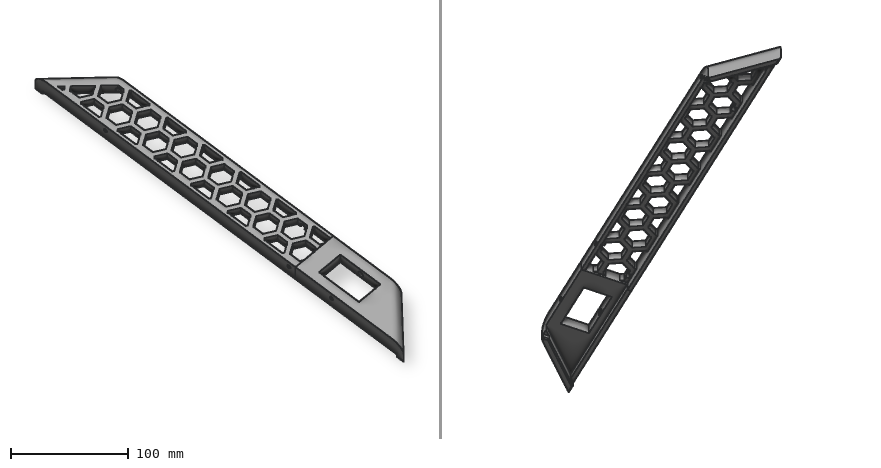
import cadquery as cq
import math

length = 431.72
depth = 46.8
height = 21.0
foot_height = 4.5
end_radius = 10.0

skirt_thickness = 4.0
end_wall_width = 8.2
plate_thickness = 10.5
grille_thickness = 8.0

display_length = 126.9
seam_x = length - display_length

foot_end_x = 49.8
foot_chamfer = 1.2

hex_across_flats = 20.0
hex_row_pitch = 24.82
hex_column_pitch = hex_row_pitch * math.sqrt(3) / 2
hex_corner_diameter = hex_across_flats * 2 / math.sqrt(3)
first_hex_x = 39.1
first_hex_y = 17.3
honeycomb_border = 3.5
honeycomb_mitre_offset = 19.6
honeycomb_columns = range(-1, 14)
honeycomb_rows = range(-1, 3)

window_x = 323.2
window_y = 9.8
window_length = 46.8
window_depth = 26.3

hole_diameter = 3.5
counterbore_diameter = 5.6
counterbore_wall = 4.0
hole_z = 14.7
front_hole_columns = (2, 12)
window_hole_x = 347.0


def prism(outline, bottom, top):
    """Vertical prism over a closed outline in the XY plane."""
    return cq.Workplane("XY").workplane(offset=bottom).polyline(outline).close().extrude(top - bottom)


def mirrored(body):
    """Copy of a body reflected to the opposite end of the bar."""
    return body.mirror("YZ", (length / 2, 0, 0))


def bar_blank():
    """Solid mitred bar, rounded along the upper edge of each mitre."""
    outline = [(0, 0), (length, 0), (length - depth, depth), (depth, depth)]
    bar = prism(outline, foot_height, height)
    return bar.faces(">Z").edges("not |X").fillet(end_radius)


def foot():
    """Foot under the left end wall, chamfered below on every side but the mitre."""
    outline = [
        (0, 0),
        (end_wall_width, 0),
        (foot_end_x, foot_end_x - end_wall_width),
        (foot_end_x, depth),
        (depth, depth),
    ]
    body = prism(outline, 0, foot_height)
    return body.faces("<Z").edges("not <(1, -1, 0)").chamfer(foot_chamfer)


def underside_hollow():
    """Space under the top plate, open at the rear, between the end walls."""
    outline = [
        (end_wall_width + skirt_thickness, skirt_thickness),
        (length - end_wall_width - skirt_thickness, skirt_thickness),
        (length - end_wall_width - depth, depth),
        (end_wall_width + depth, depth),
    ]
    return prism(outline, 0, height - plate_thickness)


def hex_centre(column, row):
    """Centre of one honeycomb cell; odd columns sit half a row higher."""
    return (
        first_hex_x + column * hex_column_pitch,
        first_hex_y + (row + column % 2 / 2) * hex_row_pitch,
    )


def grille_field():
    """Area of the grille inside its border, open towards the seam."""
    front = honeycomb_border
    rear = depth - honeycomb_border
    outline = [
        (front + honeycomb_mitre_offset, front),
        (seam_x, front),
        (seam_x, rear),
        (rear + honeycomb_mitre_offset, rear),
    ]
    return prism(outline, 0, height)


def honeycomb():
    """Hexagonal openings trimmed to the border of the grille."""
    centres = [hex_centre(column, row) for column in honeycomb_columns for row in honeycomb_rows]
    cells = cq.Workplane("XY").pushPoints(centres).polygon(6, hex_corner_diameter).extrude(height)
    return grille_field().intersect(cells)


def screw_hole(x, inner_y):
    """Hole from the front face to inner_y, counterbored from the inside."""
    place = cq.Workplane("XZ").center(x, hole_z)
    hole = place.circle(hole_diameter / 2).extrude(-inner_y)
    bore = place.workplane(offset=-counterbore_wall).circle(counterbore_diameter / 2)
    return hole.union(bore.extrude(-(inner_y - counterbore_wall)))


def rear_screw_hole(x, inner_y):
    """The same hole entering from the rear face."""
    return screw_hole(x, depth - inner_y).mirror("XZ", (0, depth / 2, 0))


left_foot = foot()
bar = bar_blank().union(left_foot).union(mirrored(left_foot)).cut(underside_hollow())
grille_span = cq.Workplane("XY").box(seam_x, depth, height, centered=False)

grille_recess = grille_field().translate((0, 0, -grille_thickness))
grille = bar.intersect(grille_span).cut(grille_recess).cut(honeycomb())
for column in front_hole_columns:
    grille = grille.cut(screw_hole(*hex_centre(column, 0)))
    grille = grille.cut(rear_screw_hole(*hex_centre(column - 1, 0)))

window = cq.Workplane("XY").box(window_length, window_depth, height, centered=False)
window = window.translate((window_x, window_y, 0))
window_middle = window_y + window_depth / 2
display = bar.cut(grille_span).cut(window)
display = display.cut(screw_hole(window_hole_x, window_middle))
display = display.cut(rear_screw_hole(window_hole_x, window_middle))

result = cq.Compound.makeCompound([grille.val(), display.val()])